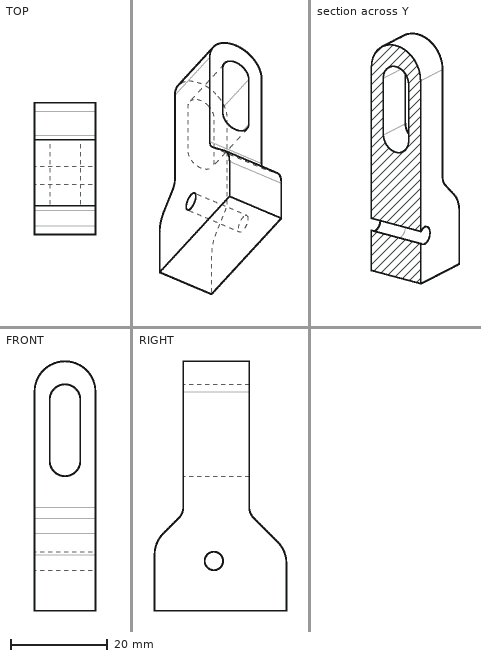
import cadquery as cq

thickness = 12.7
base_width = 27.45
height = 51.85

neck_front = 5.95
neck_width = 13.75
neck_back = neck_front + neck_width
neck_base_height = 20.2
front_shoulder_height = neck_base_height - neck_front
back_shoulder_height = neck_base_height - (base_width - neck_back)
shoulder_radius = 6.2
neck_fillet_radius = 3.2

slot_width = 6.35
slot_length = 19.05
slot_bottom = 28.0
slot_center_height = slot_bottom + slot_length / 2

hole_diameter = 3.8
hole_y = 12.35
hole_z = 10.35


def make_profile_body():
    """Side outline extruded along X, centred on X = 0, with its corners rounded."""
    front_shoulder = (0, front_shoulder_height)
    front_neck = (neck_front, neck_base_height)
    back_neck = (neck_back, neck_base_height)
    back_shoulder = (base_width, back_shoulder_height)
    outline = [
        (0, 0),
        front_shoulder,
        front_neck,
        (neck_front, height),
        (neck_back, height),
        back_neck,
        back_shoulder,
        (base_width, 0),
    ]
    body = cq.Workplane("YZ").polyline(outline).close().extrude(thickness / 2, both=True)

    def round_edges(solid, corners, radius):
        for y, z in corners:
            solid = solid.edges(cq.NearestToPointSelector((0, y, z))).fillet(radius)
        return solid

    body = round_edges(body, [front_shoulder, back_shoulder], shoulder_radius)
    return round_edges(body, [front_neck, back_neck], neck_fillet_radius)


def make_front_envelope():
    """Plate with a semicircular top, used to round the neck across X."""
    half = thickness / 2
    return (
        cq.Workplane("XZ")
        .moveTo(-half, 0)
        .lineTo(half, 0)
        .lineTo(half, height - half)
        .threePointArc((0, height), (-half, height - half))
        .close()
        .extrude(-base_width)
    )


def make_slot():
    return (
        cq.Workplane("XZ")
        .center(0, slot_center_height)
        .slot2D(slot_length, slot_width, 90)
        .extrude(-base_width)
    )


def make_cross_hole():
    return (
        cq.Workplane("YZ")
        .center(hole_y, hole_z)
        .circle(hole_diameter / 2)
        .extrude(thickness, both=True)
    )


result = make_profile_body().intersect(make_front_envelope()).cut(make_slot()).cut(make_cross_hole())